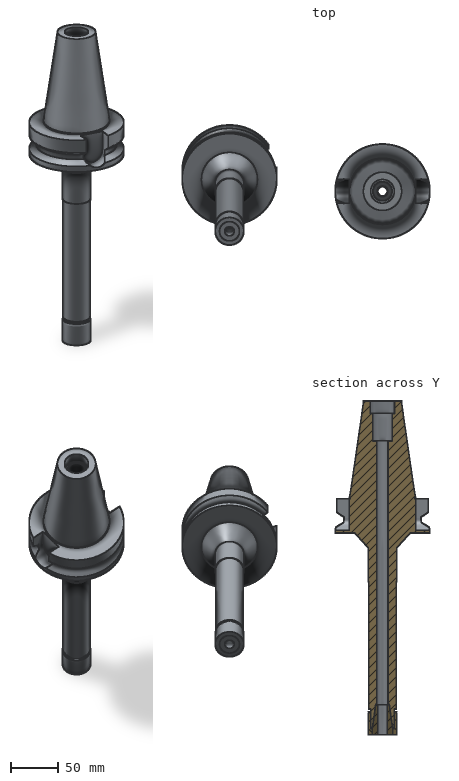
import cadquery as cq
import math

TOTAL_LENGTH = 351.8
TAPER_LENGTH = 101.5
FLANGE_GAP = 1.5
FLANGE_HEIGHT = 36.2
CONE_HEIGHT = 16.0
COLLAR_HEIGHT = 35.2
SHANK_END_Z = 27.0
NUT_HEIGHT = 24.3
NOSE_END_Z = 6.0

GAUGE_Z = TOTAL_LENGTH - TAPER_LENGTH
FLANGE_TOP_Z = GAUGE_Z - FLANGE_GAP
FLANGE_BOTTOM_Z = FLANGE_TOP_Z - FLANGE_HEIGHT
COLLAR_TOP_Z = FLANGE_BOTTOM_Z - CONE_HEIGHT
COLLAR_BOTTOM_Z = COLLAR_TOP_Z - COLLAR_HEIGHT

GAUGE_DIAMETER = 70.0
TAPER_RATIO = 7 / 24
RELIEF_DIAMETER = 68.2
FLANGE_DIAMETER = 100.0
CONE_DIAMETER = 59.0
COLLAR_DIAMETER = 30.3
SHANK_DIAMETER = 29.2
NOSE_DIAMETER = 25.0
TAPER_TIP_DIAMETER = GAUGE_DIAMETER - TAPER_RATIO * TAPER_LENGTH

GROOVE_DIAMETER = 85.5
GROOVE_FLOOR_HEIGHT = 5.5
GROOVE_FLANK_HEIGHT = 5.0
LOWER_RIM_HEIGHT = 6.5

SLOT_WIDTH = 25.7
SLOT_DEPTH = 33.0
SLOT_FLOOR_X = 35.2

PILOT_DIAMETER = 25.0
PILOT_DEPTH = 13.0
THREAD_DIAMETER = 20.5
THREAD_DEPTH = 42.2
COOLANT_DIAMETER = 11.3

NUT_DIAMETER = 30.3
NUT_CHAMFER_HEIGHT = 2.5
NUT_CHAMFER_WIDTH = 0.5
COLLET_DIAMETER = 21.0
COLLET_LENGTH = 31.5
COLLET_HALF_ANGLE = 8.0
COLLET_BORE_DIAMETER = 10.0
COLLET_TIP_DIAMETER = COLLET_DIAMETER - 2 * (COLLET_LENGTH - NOSE_END_Z) * math.tan(
    math.radians(COLLET_HALF_ANGLE)
)


def turned(stations):
    """Solid of revolution about Z through (diameter, z) stations."""
    profile = [(-diameter / 2, z) for diameter, z in stations]
    axis_points = [(0, stations[-1][1]), (0, stations[0][1])]
    return cq.Workplane("YZ").polyline(profile + axis_points).close().revolve(360, (0, 0), (0, 1))


def cylinder(diameter, bottom_z, top_z):
    return cq.Workplane("XY").workplane(offset=bottom_z).circle(diameter / 2).extrude(top_z - bottom_z)


def collet_envelope():
    """Outer shape shared by the collet and the recesses that hold it."""
    return turned([
        (COLLET_DIAMETER, 0),
        (COLLET_DIAMETER, NOSE_END_Z),
        (COLLET_TIP_DIAMETER, COLLET_LENGTH),
    ])


def holder_blank():
    groove_bottom_z = FLANGE_BOTTOM_Z + LOWER_RIM_HEIGHT
    floor_bottom_z = groove_bottom_z + GROOVE_FLANK_HEIGHT
    floor_top_z = floor_bottom_z + GROOVE_FLOOR_HEIGHT
    groove_top_z = floor_top_z + GROOVE_FLANK_HEIGHT
    return turned([
        (NOSE_DIAMETER, NOSE_END_Z),
        (NOSE_DIAMETER, SHANK_END_Z),
        (SHANK_DIAMETER, SHANK_END_Z),
        (SHANK_DIAMETER, COLLAR_BOTTOM_Z),
        (COLLAR_DIAMETER, COLLAR_BOTTOM_Z),
        (COLLAR_DIAMETER, COLLAR_TOP_Z),
        (CONE_DIAMETER, FLANGE_BOTTOM_Z),
        (FLANGE_DIAMETER, FLANGE_BOTTOM_Z),
        (FLANGE_DIAMETER, groove_bottom_z),
        (GROOVE_DIAMETER, floor_bottom_z),
        (GROOVE_DIAMETER, floor_top_z),
        (FLANGE_DIAMETER, groove_top_z),
        (FLANGE_DIAMETER, FLANGE_TOP_Z),
        (RELIEF_DIAMETER, FLANGE_TOP_Z),
        (RELIEF_DIAMETER, GAUGE_Z),
        (GAUGE_DIAMETER, GAUGE_Z),
        (TAPER_TIP_DIAMETER, TOTAL_LENGTH),
    ])


def drive_slot(side):
    """Round-ended slot cutter on the +X (side = 1) or -X (side = -1) edge of the flange."""
    half_width = SLOT_WIDTH / 2
    end_center_z = FLANGE_TOP_Z - SLOT_DEPTH + half_width
    return (
        cq.Workplane("YZ")
        .workplane(offset=side * SLOT_FLOOR_X)
        .moveTo(-half_width, FLANGE_TOP_Z)
        .lineTo(-half_width, end_center_z)
        .threePointArc((0, end_center_z - half_width), (half_width, end_center_z))
        .lineTo(half_width, FLANGE_TOP_Z)
        .close()
        .extrude(side * FLANGE_DIAMETER / 2)
    )


def make_holder():
    holder = holder_blank()
    for side in (-1, 1):
        holder = holder.cut(drive_slot(side))
    holder = holder.cut(cylinder(PILOT_DIAMETER, TOTAL_LENGTH - PILOT_DEPTH, TOTAL_LENGTH))
    holder = holder.cut(cylinder(THREAD_DIAMETER, TOTAL_LENGTH - THREAD_DEPTH, TOTAL_LENGTH))
    holder = holder.cut(cylinder(COOLANT_DIAMETER, NOSE_END_Z, TOTAL_LENGTH))
    return holder.cut(collet_envelope())


def make_nut():
    """Clamping nut, bored for the holder nose above and the collet below."""
    nut = turned([
        (NUT_DIAMETER, 0),
        (NUT_DIAMETER, NUT_HEIGHT - NUT_CHAMFER_HEIGHT),
        (NUT_DIAMETER - 2 * NUT_CHAMFER_WIDTH, NUT_HEIGHT),
    ])
    nut = nut.cut(cylinder(NOSE_DIAMETER, NOSE_END_Z, NUT_HEIGHT))
    return nut.cut(cylinder(COLLET_DIAMETER, 0, NOSE_END_Z))


def make_collet():
    return collet_envelope().cut(cylinder(COLLET_BORE_DIAMETER, 0, COLLET_LENGTH))


holder = make_holder()
nut = make_nut()
collet = make_collet()

result = cq.Compound.makeCompound([holder.val(), nut.val(), collet.val()])